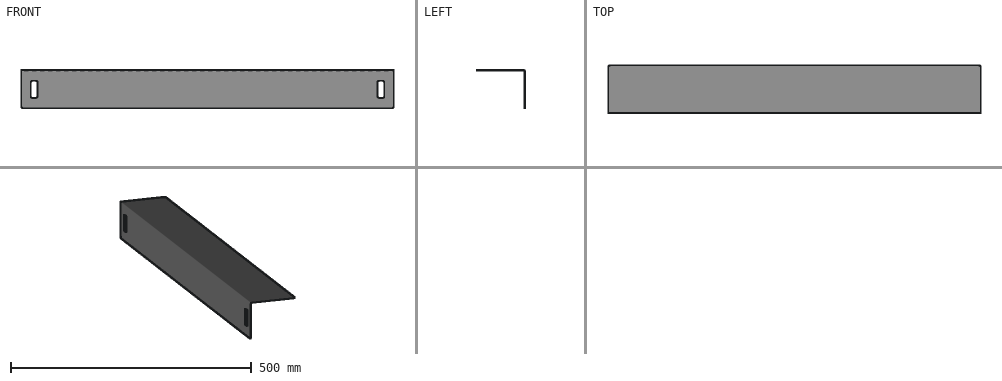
import cadquery as cq

length = 774.0
flange_depth = 100.0
web_height = 80.0

thickness = 1.5
inner_bend_radius = 1.5
outer_bend_radius = inner_bend_radius + thickness

corner_radius = 5.0

slot_width = 14.0
slot_height = 35.0
slot_corner_radius = 3.0
slot_end_distance = 27.0
slot_centre_drop = 40.0


def make_angle():
    """Bent sheet with its outer bend edge along X, at Y = 0 and Z = 0."""
    profile = (
        cq.Workplane("YZ")
        .moveTo(0, -web_height)
        .lineTo(0, -outer_bend_radius)
        .radiusArc((outer_bend_radius, 0), outer_bend_radius)
        .lineTo(flange_depth, 0)
        .lineTo(flange_depth, -thickness)
        .lineTo(outer_bend_radius, -thickness)
        .radiusArc((thickness, -outer_bend_radius), -inner_bend_radius)
        .lineTo(thickness, -web_height)
        .close()
    )
    return profile.extrude(length / 2, both=True)


def round_free_corners(angle):
    """Round the two end corners of each leg."""
    angle = angle.faces("<Z").edges("|Y").fillet(corner_radius)
    return angle.faces(">Y").edges("|Z").fillet(corner_radius)


def make_slots():
    """Cutters for one slot near each end of the web."""
    slot_x = length / 2 - slot_end_distance
    return (
        cq.Workplane("XZ")
        .pushPoints([(-slot_x, -slot_centre_drop), (slot_x, -slot_centre_drop)])
        .rect(slot_width, slot_height)
        .extrude(thickness, both=True)
        .edges("|Y")
        .fillet(slot_corner_radius)
    )


result = round_free_corners(make_angle()).cut(make_slots())